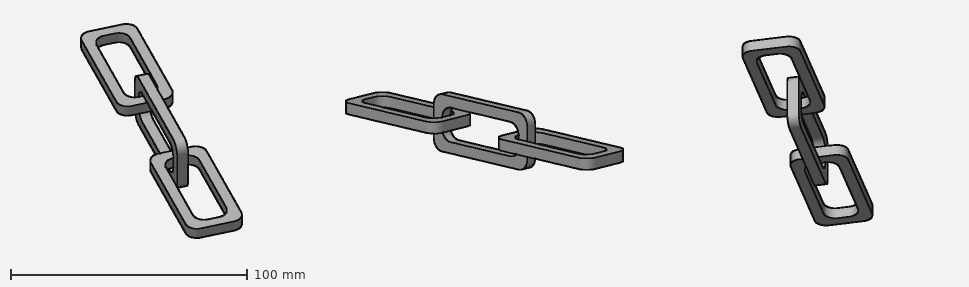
import cadquery as cq

link_length = 55.0
link_width = 25.0
bar_size = 5.0
outer_corner_radius = 5.0
inner_corner_radius = 5.0

link_count = 3
link_pitch = link_length - 2 * bar_size
quarter_turn = 90.0


def rounded_block(length, width, corner_radius):
    """Block one bar thick, centred on the origin, with rounded vertical edges."""
    return cq.Workplane("XY").box(length, width, bar_size).edges("|Z").fillet(corner_radius)


def chain_link():
    """Flat rectangular ring lying in the XY plane, centred on the origin."""
    outside = rounded_block(link_length, link_width, outer_corner_radius)
    opening = rounded_block(
        link_length - 2 * bar_size,
        link_width - 2 * bar_size,
        inner_corner_radius,
    )
    return outside.cut(opening)


links = []
for index in range(link_count):
    turn = quarter_turn * (index % 2)
    offset = (index - (link_count - 1) / 2) * link_pitch
    link = chain_link().rotate((0, 0, 0), (1, 0, 0), turn).translate((offset, 0, 0))
    links.append(link.val())

result = cq.Compound.makeCompound(links)